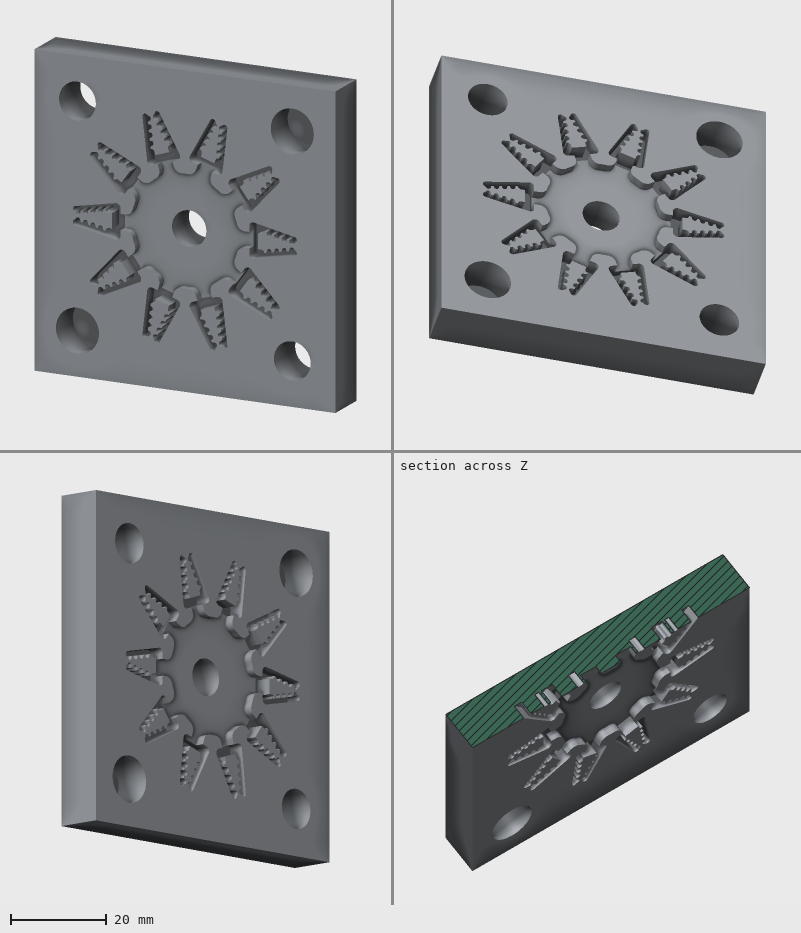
import cadquery as cq
import math

plate_side = 70.0
plate_thickness = 10.0

centre_hole_diameter = 8.0
corner_offset = 25.0
bolt_hole_diameter = 8.55
pin_socket_diameter = 10.0
pin_socket_depth = 8.0

clip_count = 10
hub_radius = 12.5
hub_depth = 2.0
channel_width = 3.6
channel_fillet = 1.8

clip_depth = 3.5
clip_base_x = 15.0
clip_base_half_width = 4.2
clip_corner_fillet = 1.0
base_strip_width = 2.0
arm_slope = -0.2
arm_root_thickness = 1.1
tip_outer_x = 25.55
tip_end_x = 26.05
tip_end_y = 1.3
tip_inner_x = 25.6
tip_inner_y = 0.85

tooth_count = 5
tooth_pitch = 1.75
first_tooth_x = 17.85
tooth_height = 0.85
tooth_flank_height = 0.5
tooth_root_half_width = 0.6
tooth_crest_half_width = 0.5

clip_angles = [index * 360 / clip_count for index in range(clip_count)]


def front_sketch():
    """Sketch plane on the front face (-Y); extruding by a negative length goes into the plate."""
    return cq.Workplane("XZ", origin=(0, -plate_thickness / 2, 0))


def about_axis(body, angle):
    return body.rotate((0, 0, 0), (0, 1, 0), angle)


def arm_outer_y(x):
    return clip_base_half_width + arm_slope * (x - clip_base_x)


def arm_root_y(x):
    """Level of the tooth roots, parallel to the outer side of the arm."""
    return arm_outer_y(x) - arm_root_thickness


def tooth_points(index):
    """Root, shoulder, crest, shoulder and root of one tooth, from the base towards the tip."""
    x = first_tooth_x + index * tooth_pitch
    offsets = [
        (-tooth_root_half_width, 0),
        (-tooth_crest_half_width, tooth_flank_height),
        (0, tooth_height),
        (tooth_crest_half_width, tooth_flank_height),
        (tooth_root_half_width, 0),
    ]
    return [(x + dx, arm_root_y(x + dx) - height) for dx, height in offsets]


def half_clip():
    """Upper half of a clip; the first tooth merges into the base strip, so only its outer flank shows."""
    inner_x = clip_base_x + base_strip_width
    _, _, crest, shoulder, root = tooth_points(0)
    outline = front_sketch().moveTo(clip_base_x, 0).lineTo(inner_x, 0)
    outline = outline.lineTo(inner_x, crest[1]).lineTo(*crest)
    outline = outline.lineTo(*shoulder).lineTo(*root)
    for index in range(1, tooth_count):
        root_in, shoulder_in, crest, shoulder_out, root_out = tooth_points(index)
        outline = outline.lineTo(*root_in).lineTo(*shoulder_in)
        outline = outline.threePointArc(crest, shoulder_out)
        if index < tooth_count - 1:
            outline = outline.lineTo(*root_out)
    outline = outline.lineTo(tip_inner_x, tip_inner_y)
    outline = outline.threePointArc((tip_end_x, tip_end_y), (tip_outer_x, arm_outer_y(tip_outer_x)))
    outline = outline.lineTo(clip_base_x, clip_base_half_width).close()
    half = outline.extrude(-clip_depth)
    corner = cq.selectors.NearestToPointSelector((clip_base_x, 0, clip_base_half_width))
    return half.edges("|Y").edges(corner).fillet(clip_corner_fillet)


def clip_cavity():
    half = half_clip()
    return half.union(half.mirror("XY"))


def hub_recess():
    """Disc with radial channels; the corners where they meet are rounded."""
    recess = front_sketch().circle(hub_radius).extrude(-hub_depth)
    channel = (
        front_sketch()
        .center(clip_base_x / 2, 0)
        .rect(clip_base_x, channel_width)
        .extrude(-hub_depth)
    )
    for angle in clip_angles:
        recess = recess.union(about_axis(channel, angle))
    corner_limit = (hub_radius + clip_base_x) / 2

    def is_inner_corner(edge):
        centre = edge.Center()
        return math.hypot(centre.x, centre.z) < corner_limit

    return recess.edges("|Y").filter(is_inner_corner).fillet(channel_fillet)


def drilled(diameter, depth, points):
    return front_sketch().pushPoints(points).circle(diameter / 2).extrude(-depth)


result = cq.Workplane("XY").box(plate_side, plate_thickness, plate_side)

result = result.cut(hub_recess())
cavity = clip_cavity()
for clip_angle in clip_angles:
    result = result.cut(about_axis(cavity, clip_angle))

c = corner_offset
result = result.cut(drilled(centre_hole_diameter, plate_thickness, [(0, 0)]))
result = result.cut(drilled(bolt_hole_diameter, plate_thickness, [(-c, c), (c, -c)]))

result = result.cut(drilled(pin_socket_diameter, pin_socket_depth, [(c, c), (-c, -c)]))